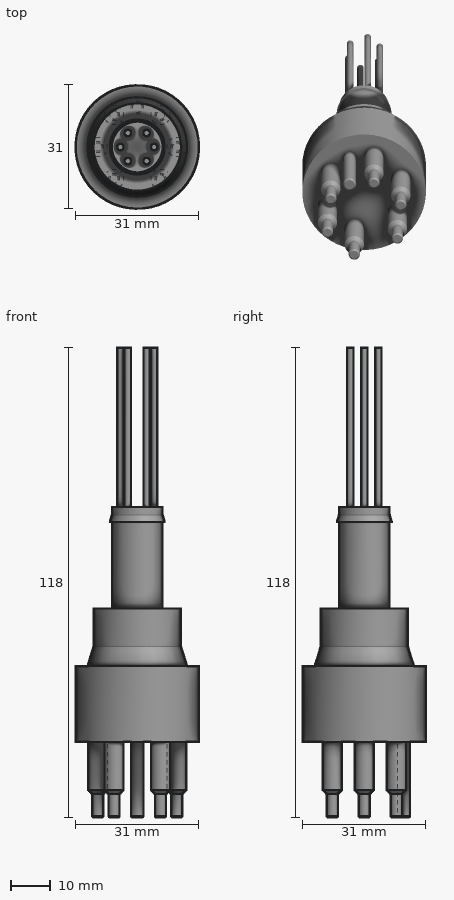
import cadquery as cq

total_height = 118.0
collar_diameter = 31.0

collar_bottom = 19.0
collar_top = 38.0
shoulder_top = 43.0
neck_top = 52.5
ring_bottom = 74.2
ring_top = 76.0
cable_top = 78.0

shoulder_diameter = 25.0
neck_diameter = 22.0
ring_diameter = 13.8
cable_diameter = 12.7

wire_diameter = 1.7
wire_circle_radius = 4.2
wire_angles = [0, 56, 124, 180, 236, 304]

pin_circle_radius = 9.9
pin_angles = [0, 54, 126, 180, 234, 306]
pin_diameter = 4.8
pin_tip_diameter = 2.8
pin_taper_bottom = 5.9
pin_taper_top = 7.0
key_angle = 90
key_diameter = 3.2
tip_chamfer = 0.4


def place(shape, radius, angle):
    """Move a shape from the Z axis out to a radius and angle about it."""
    return shape.translate((radius, 0, 0)).rotate((0, 0, 0), (0, 0, 1), angle)


def revolve_profile(points):
    """Revolve (radius, height) points about the Z axis."""
    return cq.Workplane("XZ").polyline(points).close().revolve(360, (0, 0, 0), (0, 1, 0))


def make_body():
    """Collar, sloping shoulder, neck and ringed cable in one turned profile."""
    return revolve_profile([
        (0, collar_bottom),
        (collar_diameter / 2, collar_bottom),
        (collar_diameter / 2, collar_top),
        (shoulder_diameter / 2, collar_top),
        (neck_diameter / 2, shoulder_top),
        (neck_diameter / 2, neck_top),
        (cable_diameter / 2, neck_top),
        (cable_diameter / 2, ring_bottom),
        (ring_diameter / 2, ring_bottom),
        (cable_diameter / 2, ring_top),
        (cable_diameter / 2, cable_top),
        (0, cable_top),
    ])


def make_wire():
    """Straight wire standing on the cable end."""
    cable_end = cq.Workplane("XY", origin=(0, 0, cable_top))
    return cable_end.circle(wire_diameter / 2).extrude(total_height - cable_top)


def make_pin():
    """Stepped contact pin with a tapered step and a chamfered tip."""
    tip_radius = pin_tip_diameter / 2
    return revolve_profile([
        (0, 0),
        (tip_radius - tip_chamfer, 0),
        (tip_radius, tip_chamfer),
        (tip_radius, pin_taper_bottom),
        (pin_diameter / 2, pin_taper_top),
        (pin_diameter / 2, collar_bottom),
        (0, collar_bottom),
    ])


def make_key():
    """Plain key pin with a chamfered tip."""
    rod = cq.Workplane("XY").circle(key_diameter / 2).extrude(collar_bottom)
    return rod.faces("<Z").chamfer(tip_chamfer)


result = make_body()
for wire_angle in wire_angles:
    result = result.union(place(make_wire(), wire_circle_radius, wire_angle))
for pin_angle in pin_angles:
    result = result.union(place(make_pin(), pin_circle_radius, pin_angle))
result = result.union(place(make_key(), pin_circle_radius, key_angle))